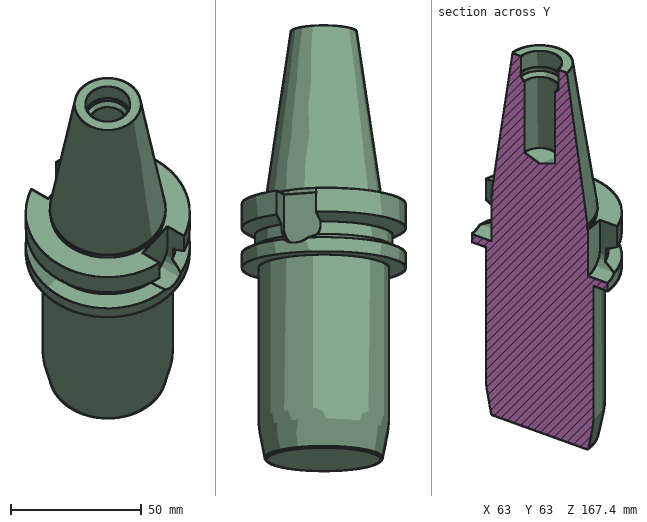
import cadquery as cq
import math

total_height = 167.4
gauge_height = 101.8
flange_top = 100.0
flange_bottom = 75.0
groove_upper_edge = 90.5
groove_upper_root = 87.7
groove_lower_root = 82.9
groove_lower_edge = 80.5
nose_arc_start = 14.9
nose_cone_start = 10.9
nose_chamfer_height = 0.7

taper_ratio = 7 / 24
gauge_diameter = 44.5
neck_diameter = 44.0
flange_diameter = 63.0
groove_diameter = 52.9
body_diameter = 50.0
nose_angle = math.radians(11)
nose_chamfer_width = 0.7

bore_diameter = 17.0
bore_depth = 7.4
relief_diameter = 17.4
relief_depth = 9.2
pilot_diameter = 14.0
pilot_depth = 43.0
drill_point_angle = math.radians(140)

slot_width = 16.0
slot_bottom = 78.8
slot_floor_offset = 22.5


def make_holder():
    """Revolve the taper, grooved flange, body and rounded nose."""
    body_radius = body_diameter / 2
    flange_radius = flange_diameter / 2
    groove_radius = groove_diameter / 2
    gauge_radius = gauge_diameter / 2
    taper_end_radius = gauge_radius - taper_ratio * (total_height - gauge_height) / 2

    arc_radius = (nose_arc_start - nose_cone_start) / math.sin(nose_angle)

    def arc_point(angle):
        inset = arc_radius * (1 - math.cos(angle))
        return body_radius - inset, nose_arc_start - arc_radius * math.sin(angle)

    cone_start = arc_point(nose_angle)
    cone_drop = nose_cone_start - nose_chamfer_height
    cone_end_radius = cone_start[0] - cone_drop * math.tan(nose_angle)

    return (
        cq.Workplane("XZ")
        .moveTo(0, 0)
        .lineTo(cone_end_radius - nose_chamfer_width, 0)
        .lineTo(cone_end_radius, nose_chamfer_height)
        .lineTo(*cone_start)
        .threePointArc(arc_point(nose_angle / 2), (body_radius, nose_arc_start))
        .lineTo(body_radius, flange_bottom)
        .lineTo(flange_radius, flange_bottom)
        .lineTo(flange_radius, groove_lower_edge)
        .lineTo(groove_radius, groove_lower_root)
        .lineTo(groove_radius, groove_upper_root)
        .lineTo(flange_radius, groove_upper_edge)
        .lineTo(flange_radius, flange_top)
        .lineTo(neck_diameter / 2, flange_top)
        .lineTo(neck_diameter / 2, gauge_height)
        .lineTo(gauge_radius, gauge_height)
        .lineTo(taper_end_radius, total_height)
        .lineTo(0, total_height)
        .close()
        .revolve(360, (0, 0, 0), (0, 1, 0))
    )


def make_bore():
    """Revolve the bore, its relief groove, 45-degree step, pilot and drill point."""
    bore_radius = bore_diameter / 2
    relief_radius = relief_diameter / 2
    pilot_radius = pilot_diameter / 2
    bore_end = total_height - bore_depth
    relief_end = total_height - relief_depth
    step_end = relief_end - (relief_radius - pilot_radius)
    pilot_end = total_height - pilot_depth
    point_depth = pilot_radius / math.tan(drill_point_angle / 2)
    return (
        cq.Workplane("XZ")
        .moveTo(0, total_height)
        .lineTo(bore_radius, total_height)
        .lineTo(bore_radius, bore_end)
        .lineTo(relief_radius, bore_end)
        .lineTo(relief_radius, relief_end)
        .lineTo(pilot_radius, step_end)
        .lineTo(pilot_radius, pilot_end)
        .lineTo(0, pilot_end - point_depth)
        .close()
        .revolve(360, (0, 0, 0), (0, 1, 0))
    )


def make_drive_slot(side):
    """Round-bottomed slot cutter on the +X (side=1) or -X (side=-1) face."""
    half_width = slot_width / 2
    arc_center = slot_bottom + half_width
    slot_depth = flange_diameter / 2 - slot_floor_offset
    return (
        cq.Workplane("YZ", origin=(side * slot_floor_offset, 0, 0))
        .moveTo(-half_width, flange_top)
        .lineTo(-half_width, arc_center)
        .threePointArc((0, slot_bottom), (half_width, arc_center))
        .lineTo(half_width, flange_top)
        .close()
        .extrude(side * slot_depth)
    )


result = make_holder().cut(make_bore())
for slot_side in (-1, 1):
    result = result.cut(make_drive_slot(slot_side))